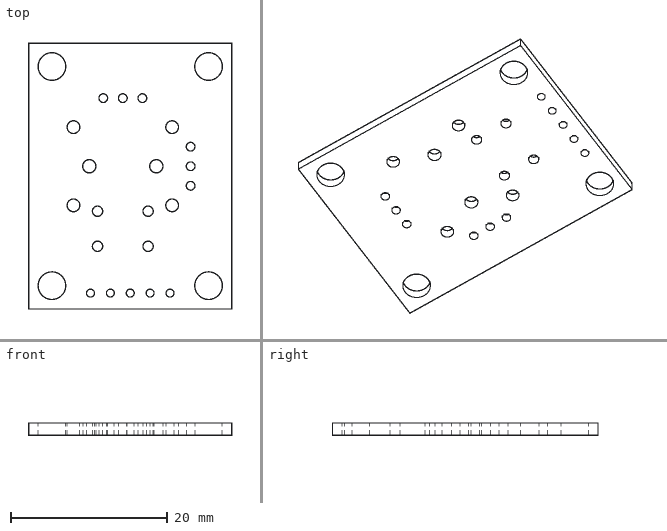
import cadquery as cq

width = 26.0
length = 34.0
thickness = 1.6

mount_diameter = 3.5
mount_edge_distance = 3.0
mount_x = width / 2 - mount_edge_distance
mount_y = length / 2 - mount_edge_distance

group_x = -0.95
group_y = 1.25

outer_diameter = 1.6
outer_spacing_x = 12.6
outer_spacing_y = 10.0
inner_diameter = 1.65
inner_spacing = 8.57

lower_diameter = 1.3
lower_spacing_x = 6.45
lower_spacing_y = 4.5
lower_center_y = -6.73

row_diameter = 1.1
row_count = 3
row_pitch = outer_spacing_y / 4
top_row_y = 9.95
side_row_x = 7.72

header_diameter = 1.0
header_count = 5
header_span = 10.15
header_pitch = header_span / (header_count - 1)
header_y = -14.95


def rectangle_points(center_x, center_y, spacing_x, spacing_y):
    """Corners of a rectangle about its centre."""
    return [
        (center_x + i * spacing_x / 2, center_y + j * spacing_y / 2)
        for i in (-1, 1)
        for j in (-1, 1)
    ]


def row_offsets(count, pitch):
    """Evenly spaced offsets about zero."""
    return [(i - (count - 1) / 2) * pitch for i in range(count)]


def drill(board, points, diameter):
    """Cut round through holes at the given points."""
    return board.faces(">Z").workplane(origin=(0, 0, 0)).pushPoints(points).hole(diameter)


board = cq.Workplane("XY").box(width, length, thickness)

mount_points = rectangle_points(0, 0, 2 * mount_x, 2 * mount_y)
board = drill(board, mount_points, mount_diameter)

outer_points = rectangle_points(group_x, group_y, outer_spacing_x, outer_spacing_y)
board = drill(board, outer_points, outer_diameter)
inner_points = [(group_x + offset, group_y) for offset in row_offsets(2, inner_spacing)]
board = drill(board, inner_points, inner_diameter)
lower_points = rectangle_points(group_x, lower_center_y, lower_spacing_x, lower_spacing_y)
board = drill(board, lower_points, lower_diameter)

offsets = row_offsets(row_count, row_pitch)
top_row = [(group_x + offset, top_row_y) for offset in offsets]
side_row = [(side_row_x, group_y + offset) for offset in offsets]
board = drill(board, top_row + side_row, row_diameter)
header_points = [(offset, header_y) for offset in row_offsets(header_count, header_pitch)]
board = drill(board, header_points, header_diameter)

result = board